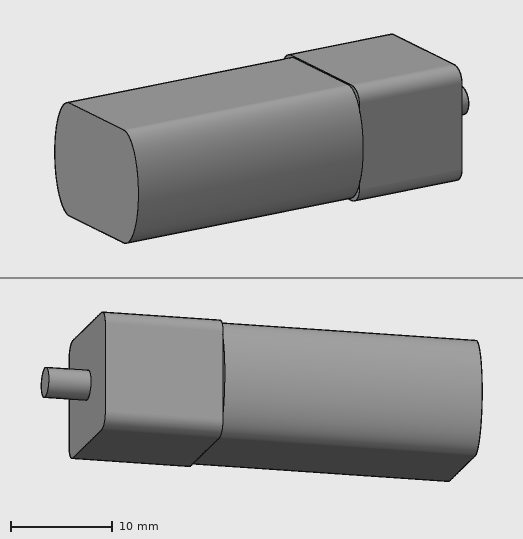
import cadquery as cq

total_length = 42.6
shaft_length = 4.3
gearbox_length = 12.0
motor_length = total_length - shaft_length - gearbox_length

shaft_diameter = 3.0

gearbox_width = 14.0
gearbox_height = 12.0
gearbox_corner_radius = 1.5

motor_width = 15.4
motor_height = 11.75
motor_flat_width = 9.95
motor_side_bulge = (motor_width - motor_flat_width) / 2

motor_end = -motor_length


def section_plane(y):
    """Plane across the part's axis, with local x along X, y along Z and normal along -Y."""
    return cq.Workplane("XZ", origin=(0, y, 0))


def make_motor():
    body = section_plane(motor_end).rect(motor_flat_width, motor_height).extrude(-motor_length)
    for side in (-1, 1):
        bulge = (
            section_plane(motor_end)
            .center(side * motor_flat_width / 2, 0)
            .ellipse(motor_side_bulge, motor_height / 2)
            .extrude(-motor_length)
        )
        body = body.union(bulge)
    return body


def make_gearbox():
    block = section_plane(0).rect(gearbox_width, gearbox_height).extrude(-gearbox_length)
    return block.edges("|Y").fillet(gearbox_corner_radius)


def make_shaft():
    return section_plane(gearbox_length).circle(shaft_diameter / 2).extrude(-shaft_length)


result = make_motor().union(make_gearbox()).union(make_shaft())